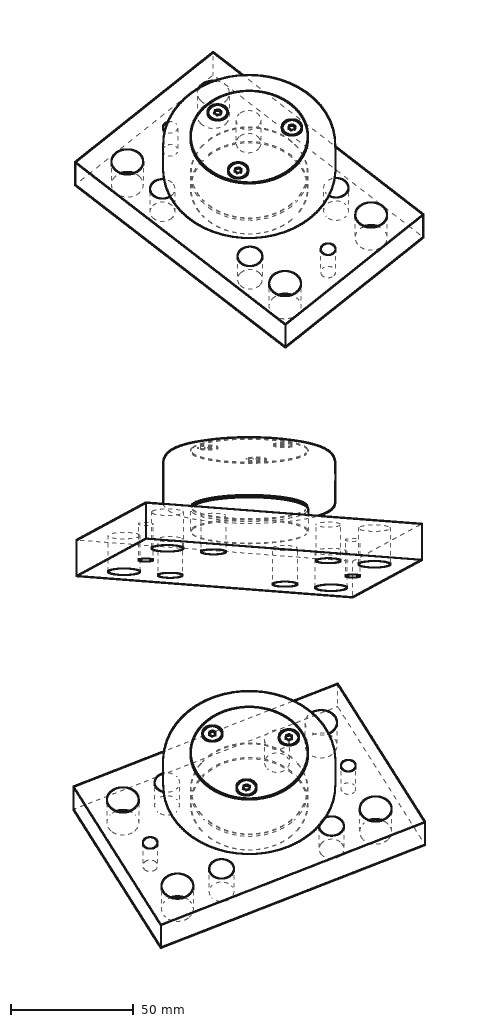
import cadquery as cq
import math

plate_length = 120
plate_width = 80.0
plate_thickness = 15.0

bolt_diameter = 13.0
bolt_x = 45.0
inner_hole_diameter = 10.1
inner_hole_x = 25.0
hole_row_y = 25.0
dowel_diameter = 6

neck_radius = 24
neck_top = 24.4
neck_chamfer_top = 25.1
step_radius = 23.6
relief_height = 0.4

roller_radius = 35.0
roller_bottom = 25.5
lower_fillet = 1.9
upper_edge_bottom = 43.7
shoulder_radius = 32.3
shoulder_height = 47.5
rim_radius = 28.5
rim_height = 48.5
crown_height = 0.06

cover_radius = 24
cover_top = 49.0
cover_chamfer = 0.2

screw_count = 3
first_screw_angle = 60
screw_circle_radius = 18
screw_recess_diameter = 8.3
screw_head_diameter = 7.8
screw_recess_depth = 0.5
socket_across_corners = 3.0
socket_depth = 0.7


def plate_holes(diameter, points):
    return (
        cq.Workplane("XY")
        .pushPoints(points)
        .circle(diameter / 2)
        .extrude(plate_thickness)
    )


def mirrored_pairs(x, y):
    return [(side * x, end * y) for side in (-1, 1) for end in (-1, 1)]


def make_plate():
    plate = cq.Workplane("XY").box(
        plate_length, plate_width, plate_thickness, centered=(True, True, False)
    )
    plate = plate.cut(plate_holes(bolt_diameter, mirrored_pairs(bolt_x, hole_row_y)))
    plate = plate.cut(plate_holes(inner_hole_diameter, mirrored_pairs(inner_hole_x, hole_row_y)))
    return plate.cut(plate_holes(dowel_diameter, [(-bolt_x, 0), (bolt_x, 0)]))


def make_roller():
    """Revolve the neck, crowned roller and cover disc about the Z axis."""
    arc_width = roller_radius - shoulder_radius
    arc_height = shoulder_height - upper_edge_bottom
    arc_radius = (arc_width**2 + arc_height**2) / (2 * arc_width)
    half_angle = math.asin(arc_height / arc_radius) / 2
    arc_middle = (
        roller_radius - arc_radius * (1 - math.cos(half_angle)),
        upper_edge_bottom + arc_radius * math.sin(half_angle),
    )
    lower_edge_top = roller_bottom + lower_fillet
    side_middle = (roller_radius + crown_height, (lower_edge_top + upper_edge_bottom) / 2)
    profile = (
        cq.Workplane("XZ")
        .moveTo(0, plate_thickness)
        .lineTo(step_radius, plate_thickness)
        .lineTo(neck_radius, plate_thickness + relief_height)
        .lineTo(neck_radius, neck_top)
        .lineTo(step_radius, neck_chamfer_top)
        .lineTo(step_radius, roller_bottom)
        .lineTo(roller_radius - lower_fillet, roller_bottom)
        .radiusArc((roller_radius, lower_edge_top), -lower_fillet)
        .threePointArc(side_middle, (roller_radius, upper_edge_bottom))
        .threePointArc(arc_middle, (shoulder_radius, shoulder_height))
        .lineTo(rim_radius, rim_height)
        .lineTo(cover_radius, rim_height)
        .lineTo(cover_radius, cover_top - cover_chamfer)
        .lineTo(cover_radius - cover_chamfer, cover_top)
        .lineTo(0, cover_top)
        .close()
    )
    return profile.revolve(360, (0, 0, 0), (0, 1, 0))


def make_screw_recesses():
    """Ring-shaped gaps around the flush screw heads, with a hexagonal socket in each head."""
    def sites(height):
        return (
            cq.Workplane("XY", origin=(0, 0, height))
            .polarArray(screw_circle_radius, first_screw_angle, 360, screw_count, rotate=False)
        )

    gap_floor = cover_top - screw_recess_depth
    gaps = sites(gap_floor).circle(screw_recess_diameter / 2).extrude(screw_recess_depth)
    heads = sites(gap_floor).circle(screw_head_diameter / 2).extrude(screw_recess_depth)
    sockets = sites(cover_top - socket_depth).polygon(6, socket_across_corners).extrude(socket_depth)
    return gaps.cut(heads).union(sockets)


result = make_plate().union(make_roller()).cut(make_screw_recesses())